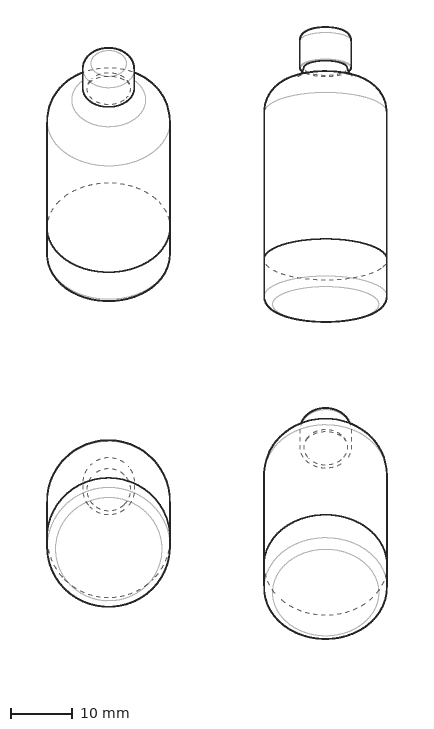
import cadquery as cq
import math

total_height = 46.65
body_diameter = 20.0

base_height = 7.7
base_edge_radius = 1.35

shoulder_start = 33.0
shoulder_radius = 5.2
neck_diameter = 7.0
neck_fillet_radius = 3.25

cap_diameter = 8.4
cap_height = 5.95
cap_edge_radius = 1.3
cap_rim_radius = 0.1
cap_bottom = total_height - cap_height


def make_base():
    """Plain disc with a rounded lower edge."""
    base = cq.Workplane("XY").circle(body_diameter / 2).extrude(base_height)
    return base.faces("<Z").edges().fillet(base_edge_radius)


def make_bottle():
    """Cylinder with a convex shoulder flowing tangentially into a concave neck."""
    body_radius = body_diameter / 2

    shoulder_x = body_radius - shoulder_radius
    fillet_x = neck_diameter / 2 + neck_fillet_radius
    centre_distance = shoulder_radius + neck_fillet_radius
    tangent_angle = math.acos((fillet_x - shoulder_x) / centre_distance)
    fillet_z = shoulder_start + centre_distance * math.sin(tangent_angle)

    def shoulder_point(angle):
        return (shoulder_x + shoulder_radius * math.cos(angle),
                shoulder_start + shoulder_radius * math.sin(angle))

    def fillet_point(angle):
        return (fillet_x - neck_fillet_radius * math.cos(angle),
                fillet_z - neck_fillet_radius * math.sin(angle))

    neck_end_angle = math.asin((fillet_z - cap_bottom) / neck_fillet_radius)
    profile = (
        cq.Workplane("XZ")
        .moveTo(0, base_height)
        .lineTo(body_radius, base_height)
        .lineTo(body_radius, shoulder_start)
        .threePointArc(shoulder_point(tangent_angle / 2), shoulder_point(tangent_angle))
        .threePointArc(fillet_point((tangent_angle + neck_end_angle) / 2), fillet_point(neck_end_angle))
        .lineTo(0, cap_bottom)
        .close()
    )
    return profile.revolve(360, (0, 0, 0), (0, 1, 0))


def make_cap():
    """Cylinder on the neck with a rounded top edge and a finely rounded lower rim."""
    cap = cq.Workplane("XY").workplane(offset=cap_bottom).circle(cap_diameter / 2).extrude(cap_height)
    cap = cap.faces(">Z").edges().fillet(cap_edge_radius)
    return cap.faces("<Z").edges().fillet(cap_rim_radius)


base = make_base()
bottle = make_bottle()
cap = make_cap()

result = cq.Compound.makeCompound([base.val(), bottle.val(), cap.val()])